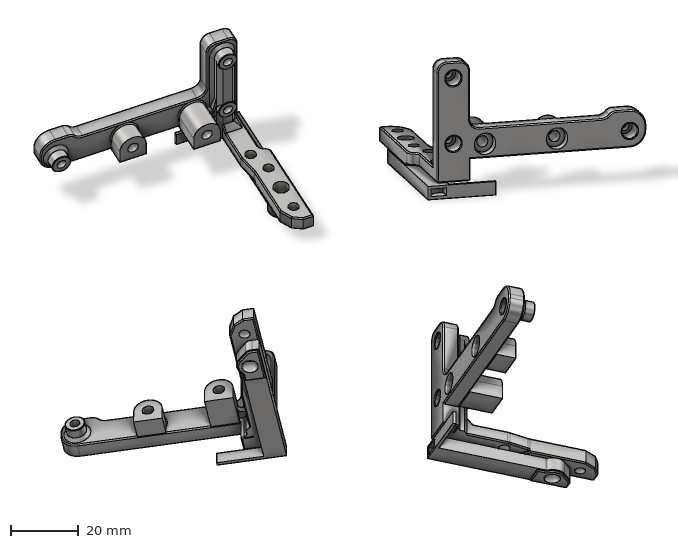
import cadquery as cq
import math

PLATE_THICKNESS = 5.0
EDGE_CHAMFER = 0.4
PIN_MARGIN = 5.0
PIN_SPACING_Z = 20.0
PIN_SPACING_Y = 54.0
PIN_NEAR_Y = -7.78
PIN_FAR_Y = PIN_NEAR_Y - PIN_SPACING_Y
PIN_LOW_Z = 17.2
PIN_HIGH_Z = PIN_LOW_Z + PIN_SPACING_Z
PIN_AXES = [(PIN_NEAR_Y, PIN_LOW_Z), (PIN_NEAR_Y, PIN_HIGH_Z), (PIN_FAR_Y, PIN_LOW_Z)]

LEG_BACK_Y = PIN_NEAR_Y + PIN_MARGIN
LEG_FRONT_Y = PIN_NEAR_Y - PIN_MARGIN
LEG_TOP_Z = PIN_HIGH_Z + PIN_MARGIN
LEG_BOTTOM_Z = 5.5
LEG_CORNER_RADIUS = 3.0
BEAM_BOTTOM_Z = PIN_LOW_Z - PIN_MARGIN
BEAM_TOP_Z = 21.5
BEAM_END_Y = PIN_FAR_Y - PIN_MARGIN
TAB_TOP_Z = 23.6
TAB_FLAT_START_Y = -57.7
TAB_BLEND_MIDDLE_Y = -55.5
TAB_BLEND_START_Y = -53.0

PIN_DIAMETER = 6.0
PIN_END_X = 9.1
PIN_END_CHAMFER = 0.2
PIN_FLARE = 1.04
PIN_HOLE_DIAMETER = 2.9
PIN_BORE_DIAMETER = 4.7
PIN_BORE_DEPTH = 6.0
PIN_BORE_CHAMFER = 0.3

STANDOFF_DIAMETER = 8.6
STANDOFF_Z = BEAM_BOTTOM_Z + STANDOFF_DIAMETER / 2
STANDOFFS = [(-17.45, 15.3), (-39.5, 11.05)]
STANDOFF_FLARE = 0.4
SCREW_HOLE_DIAMETER = 3.4
SCREW_BORE_DIAMETER = 6.5
SCREW_BORE_DEPTH = 3.0

RIB_TOP_X = 8.9
RIB_CHAMFER = 1.43
WEB_TOP_X = 7.4
WEB_TOP_Z = 16.5
WEB_SLOPE_TOP_Z = 20.7
WEB_FILLET_RADIUS = 1.4
GUSSET_REACH_X = 10.8
GUSSET_BACK_Y = -3.7
GUSSET_CORNER_CHAMFER = 0.6

ARM_TOP_Z = 9.5
ARM_PAD_Z = 4.75
ARM_END_X = 52.47
ARM_WIDE_Y = -9.46
ARM_NARROW_Y = -8.3
ARM_TAPER_X = (22.0, 28.85)
ARM_TAPER_RADIUS = 4.0
ARM_TIP = [(46.8, ARM_NARROW_Y), (50.6, -6.35), (ARM_END_X, -3.4)]
ARM_STEP_X = (19.2, 22.9)
PAD_EDGE_BACK_X = 23.7
PAD_EDGE_FRONT_X = 29.2
STOP_HOLE = (21.8, -6.32, 3.4)
PIVOT_Y = -3.84
PIVOT_X = 37.9
PIVOT_HOLE_DIAMETER = 4.8
SIDE_HOLE_SPACING = 8.8
SIDE_HOLE_DIAMETER = 3.21

LEVER_TOP_Z = ARM_PAD_Z
LEVER_BOTTOM_Z = 0.65
LEVER_BAR_FRONT_Y = -6.65
LEVER_HEAD_RADIUS = 4.0
LEVER_HEAD_END_X = 43.9
LEVER_HEAD_FLAT_X = 43.2
LEVER_HEAD_SLOPE = math.radians(45)
BLADE_THICKNESS = 1.0
BLADE_FRONT_Y = -20.8
POCKET_WALL = 0.95
POCKET_RADIUS = 3.75
POCKET_HEIGHT = 2.3
POCKET_Z = 2.75
LEVER_NECK_RADIUS = 0.4
FOOT_START_X = 32.25
FOOT_INSET = 0.2
FOOT_CHAMFER = 0.4


def cylinder_x(diameter, y, z, start_x, end_x):
    circle = cq.Workplane("YZ", origin=(start_x, y, z)).circle(diameter / 2)
    return circle.extrude(end_x - start_x)


def cylinder_z(diameter, x, y, top_z):
    return cq.Workplane("XY").center(x, y).circle(diameter / 2).extrude(top_z)


def cone_x(base_radius, top_radius, y, z, start_x, height):
    return cq.Workplane(cq.Solid.makeCone(
        base_radius, top_radius, height, cq.Vector(start_x, y, z), cq.Vector(1, 0, 0)))


def box_between(low, high):
    size = [b - a for a, b in zip(low, high)]
    return cq.Workplane(cq.Solid.makeBox(*size, cq.Vector(*low)))


def make_plate():
    blend_share = (TAB_BLEND_START_Y - TAB_BLEND_MIDDLE_Y) / (TAB_BLEND_START_Y - TAB_FLAT_START_Y)
    blend_middle_z = BEAM_TOP_Z + blend_share * (TAB_TOP_Z - BEAM_TOP_Z)
    r = LEG_CORNER_RADIUS
    e = PIN_MARGIN
    outline = (
        cq.Workplane("YZ")
        .moveTo(LEG_BACK_Y, BEAM_BOTTOM_Z)
        .lineTo(LEG_BACK_Y, LEG_TOP_Z - r)
        .tangentArcPoint((LEG_BACK_Y - r, LEG_TOP_Z), relative=False)
        .lineTo(LEG_FRONT_Y + r, LEG_TOP_Z)
        .tangentArcPoint((LEG_FRONT_Y, LEG_TOP_Z - r), relative=False)
        .lineTo(LEG_FRONT_Y, BEAM_TOP_Z + r)
        .tangentArcPoint((LEG_FRONT_Y - r, BEAM_TOP_Z), relative=False)
        .lineTo(TAB_BLEND_START_Y, BEAM_TOP_Z)
        .tangentArcPoint((TAB_BLEND_MIDDLE_Y, blend_middle_z), relative=False)
        .tangentArcPoint((TAB_FLAT_START_Y, TAB_TOP_Z), relative=False)
        .lineTo(BEAM_END_Y + e, TAB_TOP_Z)
        .tangentArcPoint((BEAM_END_Y, TAB_TOP_Z - e), relative=False)
        .lineTo(BEAM_END_Y, BEAM_BOTTOM_Z + e)
        .tangentArcPoint((BEAM_END_Y + e, BEAM_BOTTOM_Z), relative=False)
        .close()
    )
    plate = outline.extrude(PLATE_THICKNESS).faces("<X or >X").chamfer(EDGE_CHAMFER)

    foot = box_between((0, LEG_FRONT_Y, LEG_BOTTOM_Z), (PLATE_THICKNESS, LEG_BACK_Y, PIN_LOW_Z))
    foot = foot.edges("<Z or (>Y and |Z)").chamfer(EDGE_CHAMFER)
    return plate.union(foot)


def make_pin(y, z):
    radius = PIN_DIAMETER / 2
    shank = cylinder_x(PIN_DIAMETER, y, z, PLATE_THICKNESS, PIN_END_X).faces(">X").chamfer(PIN_END_CHAMFER)
    return shank.union(cone_x(radius + PIN_FLARE, radius, y, z, PLATE_THICKNESS, PIN_FLARE))


def make_standoff(y, end_x):
    radius = STANDOFF_DIAMETER / 2
    barrel = cylinder_x(STANDOFF_DIAMETER, y, STANDOFF_Z, PLATE_THICKNESS, end_x)
    flare = cone_x(radius + STANDOFF_FLARE, radius, y, STANDOFF_Z, PLATE_THICKNESS, STANDOFF_FLARE)
    below = box_between((0, y - STANDOFF_DIAMETER, 0), (end_x, y + STANDOFF_DIAMETER, BEAM_BOTTOM_Z))
    square = box_between((PLATE_THICKNESS, y - radius, BEAM_BOTTOM_Z), (end_x, y + radius, STANDOFF_Z))
    return barrel.union(flare).cut(below).union(square)


def make_rib():
    """Rib running from the upper pin down to the arm, flared at the plate and chamfered outside."""
    half = PIN_DIAMETER / 2
    flank = [
        (PLATE_THICKNESS, half + PIN_FLARE),
        (PLATE_THICKNESS + PIN_FLARE, half),
        (RIB_TOP_X - RIB_CHAMFER, half),
        (RIB_TOP_X, half - RIB_CHAMFER),
    ]
    section = flank + [(x, -y) for x, y in reversed(flank)]
    rib = cq.Workplane("XY", origin=(0, PIN_NEAR_Y, LEG_BOTTOM_Z)).polyline(section).close()
    return rib.extrude(PIN_HIGH_Z - LEG_BOTTOM_Z)


def make_web():
    """Short web joining the lower pin to the nearest standoff, with a steep slope up to the rib."""
    standoff_y = STANDOFFS[0][0]
    bottom_z = PIN_LOW_Z - PIN_DIAMETER / 2
    start_x = PLATE_THICKNESS - EDGE_CHAMFER
    standoff_side_y = standoff_y + STANDOFF_DIAMETER / 2
    fillet_end_x = WEB_TOP_X + WEB_FILLET_RADIUS
    web = (
        cq.Workplane("XY", origin=(0, 0, bottom_z))
        .moveTo(start_x, standoff_y)
        .lineTo(start_x, PIN_NEAR_Y)
        .lineTo(WEB_TOP_X, PIN_NEAR_Y)
        .lineTo(WEB_TOP_X, standoff_side_y + WEB_FILLET_RADIUS)
        .tangentArcPoint((fillet_end_x, standoff_side_y), relative=False)
        .lineTo(fillet_end_x, standoff_y)
        .close()
        .extrude(WEB_TOP_Z - bottom_z)
        .faces(">Z").chamfer(EDGE_CHAMFER)
    )
    rib_side_y = PIN_NEAR_Y - PIN_DIAMETER / 2
    slope = cq.Workplane("YZ", origin=(start_x, 0, 0)).polyline([
        (PIN_NEAR_Y, bottom_z), (PIN_NEAR_Y, WEB_SLOPE_TOP_Z), (rib_side_y, WEB_SLOPE_TOP_Z),
        (rib_side_y - PIN_FLARE, WEB_TOP_Z - EDGE_CHAMFER), (rib_side_y - PIN_FLARE, bottom_z)]).close()
    slope = slope.extrude(WEB_TOP_X - start_x).faces(">X").chamfer(EDGE_CHAMFER)
    return web.union(slope)


def make_gusset():
    """45 degree slopes around the foot of the rib; it starts inside the arm's chamfered edge."""
    base_z = ARM_TOP_Z - EDGE_CHAMFER
    height = GUSSET_REACH_X - RIB_TOP_X + EDGE_CHAMFER
    end_x = GUSSET_REACH_X + EDGE_CHAMFER
    back_y = GUSSET_BACK_Y + EDGE_CHAMFER
    base = cq.Workplane("XY", origin=(0, 0, base_z)).polyline([
        (0, back_y), (end_x - GUSSET_CORNER_CHAMFER, back_y), (end_x, back_y - GUSSET_CORNER_CHAMFER),
        (end_x, ARM_WIDE_Y - height), (0, ARM_WIDE_Y - height)]).close()
    gusset = base.extrude(height, taper=45)
    ahead = box_between((0, LEG_FRONT_Y, 0), (end_x, ARM_WIDE_Y, LEG_TOP_Z))
    behind = box_between((PLATE_THICKNESS - EDGE_CHAMFER, LEG_FRONT_Y, 0), (end_x, 0, LEG_TOP_Z))
    gusset = gusset.intersect(behind).cut(ahead)
    return gusset.faces("<Y").edges("|(1,0,-1)").chamfer(EDGE_CHAMFER)


def make_arm():
    middle_z = (LEG_BOTTOM_Z + ARM_TOP_Z) / 2
    step_middle = (sum(ARM_STEP_X) / 2, LEG_BACK_Y / 2)
    outline = (
        cq.Workplane("XY", origin=(0, 0, LEG_BOTTOM_Z))
        .moveTo(EDGE_CHAMFER, LEG_BACK_Y)
        .lineTo(ARM_STEP_X[0], LEG_BACK_Y)
        .tangentArcPoint(step_middle, relative=False)
        .tangentArcPoint((ARM_STEP_X[1], 0), relative=False)
        .lineTo(ARM_END_X, 0)
        .polyline(ARM_TIP[::-1], includeCurrent=True)
        .lineTo(ARM_TAPER_X[1], ARM_NARROW_Y)
        .lineTo(ARM_TAPER_X[0], ARM_WIDE_Y)
        .lineTo(EDGE_CHAMFER, ARM_WIDE_Y)
        .close()
    )
    arm = outline.extrude(ARM_TOP_Z - LEG_BOTTOM_Z)
    for x, y in zip(ARM_TAPER_X, (ARM_WIDE_Y, ARM_NARROW_Y)):
        taper_corner = cq.NearestToPointSelector((x, y, middle_z))
        arm = arm.edges(taper_corner).fillet(ARM_TAPER_RADIUS)
    arm = arm.faces("<Z or >Z").chamfer(EDGE_CHAMFER)

    pad = (
        cq.Workplane("XY", origin=(0, 0, ARM_PAD_Z))
        .polyline([(PAD_EDGE_BACK_X, 0), (ARM_END_X, 0)] + ARM_TIP[::-1] + [(PAD_EDGE_FRONT_X, ARM_NARROW_Y)])
        .close()
        .extrude(middle_z - ARM_PAD_Z)
        .faces("<Z").chamfer(EDGE_CHAMFER)
    )
    arm = arm.union(pad)

    holes = [
        STOP_HOLE,
        (PIVOT_X, PIVOT_Y, PIVOT_HOLE_DIAMETER),
        (PIVOT_X - SIDE_HOLE_SPACING, PIVOT_Y, SIDE_HOLE_DIAMETER),
        (PIVOT_X + SIDE_HOLE_SPACING, PIVOT_Y, SIDE_HOLE_DIAMETER),
    ]
    for x, y, diameter in holes:
        arm = arm.cut(cylinder_z(diameter, x, y, ARM_TOP_Z))
    return arm


def make_bracket():
    bracket = make_plate().union(make_arm()).union(make_gusset()).union(make_rib()).union(make_web())
    for y, z in PIN_AXES:
        bracket = bracket.union(make_pin(y, z))
    for y, end_x in STANDOFFS:
        bracket = bracket.union(make_standoff(y, end_x))

    bore_radius = PIN_BORE_DIAMETER / 2
    for y, z in PIN_AXES:
        bracket = bracket.cut(cylinder_x(PIN_HOLE_DIAMETER, y, z, 0, PIN_END_X))
        bracket = bracket.cut(cylinder_x(PIN_BORE_DIAMETER, y, z, 0, PIN_BORE_DEPTH))
        bracket = bracket.cut(cone_x(bore_radius + PIN_BORE_CHAMFER, bore_radius, y, z, 0, PIN_BORE_CHAMFER))
    for y, end_x in STANDOFFS:
        bracket = bracket.cut(cylinder_x(SCREW_HOLE_DIAMETER, y, STANDOFF_Z, 0, end_x))
        bracket = bracket.cut(cylinder_x(SCREW_BORE_DIAMETER, y, STANDOFF_Z, 0, SCREW_BORE_DEPTH))
    return bracket


def lever_slab(low_z, high_z):
    """Bar running into a head rounded about the pivot; the head's far flank slopes away at a tangent."""
    tangent_x = PIVOT_X + LEVER_HEAD_RADIUS * math.sin(LEVER_HEAD_SLOPE)
    tangent_y = PIVOT_Y - LEVER_HEAD_RADIUS * math.cos(LEVER_HEAD_SLOPE)
    flat_y = tangent_y + (LEVER_HEAD_FLAT_X - tangent_x) * math.tan(LEVER_HEAD_SLOPE)
    head_front_y = PIVOT_Y - LEVER_HEAD_RADIUS
    neck_x = PIVOT_X - math.sqrt(LEVER_HEAD_RADIUS ** 2 - (LEVER_BAR_FRONT_Y - PIVOT_Y) ** 2)
    slab = (
        cq.Workplane("XY", origin=(0, 0, low_z))
        .polyline([(0, 0), (0, LEVER_BAR_FRONT_Y), (neck_x, LEVER_BAR_FRONT_Y)])
        .threePointArc((PIVOT_X, head_front_y), (tangent_x, tangent_y))
        .lineTo(LEVER_HEAD_FLAT_X, flat_y)
        .tangentArcPoint((LEVER_HEAD_END_X, flat_y / 2), relative=False)
        .lineTo(LEVER_HEAD_END_X, 0)
        .close()
        .extrude(high_z - low_z)
    )
    neck = cq.NearestToPointSelector((neck_x, LEVER_BAR_FRONT_Y, (low_z + high_z) / 2))
    return slab.edges(neck).fillet(LEVER_NECK_RADIUS)


def make_lever():
    lever = lever_slab(LEVER_BOTTOM_Z, LEVER_TOP_Z)
    blade = box_between((0, BLADE_FRONT_Y, LEVER_BOTTOM_Z), (BLADE_THICKNESS, 0, LEVER_TOP_Z))

    bar = box_between((0, LEVER_BAR_FRONT_Y, 0), (FOOT_START_X, 0, LEVER_BOTTOM_Z))
    foot = lever.faces("<Z").wires().toPending().offset2D(-FOOT_INSET).extrude(-LEVER_BOTTOM_Z, combine=False)
    foot = foot.cut(bar).faces("<Z").chamfer(FOOT_CHAMFER)

    pocket_back_y = -POCKET_WALL
    pocket_front_y = LEVER_BAR_FRONT_Y + POCKET_WALL
    corner_y = pocket_back_y - POCKET_RADIUS
    pocket = (
        cq.Workplane("XY", origin=(0, 0, POCKET_Z - POCKET_HEIGHT / 2))
        .moveTo(0, pocket_back_y)
        .radiusArc((POCKET_RADIUS, corner_y), POCKET_RADIUS)
        .lineTo(POCKET_RADIUS, pocket_front_y)
        .lineTo(0, pocket_front_y)
        .close()
        .extrude(POCKET_HEIGHT)
    )
    pivot_hole = cylinder_z(PIVOT_HOLE_DIAMETER, PIVOT_X, PIVOT_Y, LEVER_TOP_Z)
    return lever.union(blade).union(foot).cut(pocket).cut(pivot_hole)


bracket = make_bracket()
lever = make_lever()
result = cq.Compound.makeCompound([bracket.val(), lever.val()])